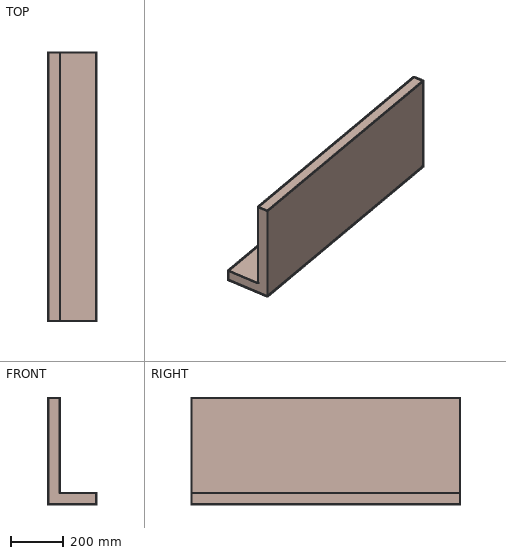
import cadquery as cq

length = 1027.0
base_width = 184.0
wall_height = 407.0
thickness = 44.0

profile = [
    (0, 0),
    (base_width, 0),
    (base_width, thickness),
    (thickness, thickness),
    (thickness, wall_height),
    (0, wall_height),
]

result = cq.Workplane("XZ").polyline(profile).close().extrude(-length)